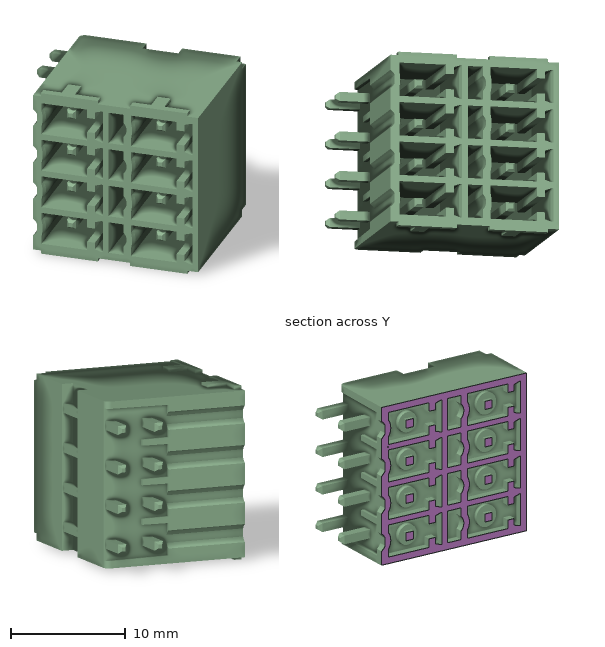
import cadquery as cq
import math


body_width = 15.15
body_depth = 13.3
overall_height = 15.4
body_height = 14.8
corner_radius = 0.53

row_pitch = 3.5
row_count = 4
column_pitch = 8.2
first_column = 2.97
columns = [first_column, first_column + column_pitch]
rows = [(i - (row_count - 1) / 2) * row_pitch for i in range(row_count)]

cavity_depth = 7.32
cavity_left = -2.19
rib_start = 2.0
rib_end = 2.7
slope_end = 3.28
cavity_right_floor = 3.31
cavity_right_mouth = 3.45
lead_in_depth = 0.53
cavity_half = 1.48
rib_gap_half = 0.68
slope_start_half = 1.3

bump_half = 0.77
bump_mouth = 0.09
bump_floor = 0.23

pad_height = 0.35
pad_top_radii = [0.95, 1.03]
pad_base_radii = [1.0, 1.03]

groove_depth = 0.37
groove_mouth_half = 0.8
groove_floor_half = 0.35
groove_arc_x = 0.21
groove_arc_half = 0.6

spare_left = 6.95
spare_right = 8.3
spare_half = 1.46
spare_groove_half = 0.68
spare_groove_depth = 0.28

plate_back = 0.64
plate_front = 0.71
finger_length = 2.5
finger_back = 0.52
finger_front = 0.59

tab_left = 0.71
tab_width = 5.23
tab_depth = 0.71
tab_height = (overall_height - body_height) / 2
stem_left = 2.4
stem_width = 1.21
stem_depth = 2.5

notch_left = 6.02
notch_width = 3.28
notch_depth = 1.07
step_width = 0.52

pin_size = 0.8
contact_tip_size = 0.4
contact_tip_length = 0.28
tail_tip_size = 0.35
tail_tip_length = 0.32
pin_reach = 2.65
pin_mating_y = 1.4
rear_pin_inset = 0.5
rear_pin_y = body_depth - rear_pin_inset
pin_leg_y = [rear_pin_y - row_pitch, rear_pin_y]


def block(x0, x1, y0, y1, z0, z1):
    """Box between opposite corners."""
    return cq.Workplane("XY").box(x1 - x0, y1 - y0, z1 - z0, centered=False).translate((x0, y0, z0))


def front_plane(x, y, z):
    """Plane facing the mating side: local x along +X, local y along +Z, extrusion along -Y."""
    return cq.Workplane("XZ", origin=(x, y, z))


def recessed_panel():
    """Pocket in the left wall, leaving end plates and fingers between the rows."""
    y_front = cavity_depth
    z_back = body_height / 2 - plate_back
    z_front = body_height / 2 - plate_front
    panel = (
        cq.Workplane("YZ")
        .polyline([(y_front, -z_front), (body_depth, -z_back), (body_depth, z_back), (y_front, z_front)])
        .close()
        .extrude(groove_depth)
    )
    y_tip = y_front + finger_length
    for lower_row in rows[:-1]:
        z = lower_row + row_pitch / 2
        finger = (
            cq.Workplane("YZ")
            .polyline([
                (y_front, z - finger_front / 2),
                (y_tip, z - finger_back / 2),
                (y_tip, z + finger_back / 2),
                (y_front, z + finger_front / 2),
            ])
            .close()
            .extrude(groove_depth)
        )
        panel = panel.cut(finger)
    return panel


def housing():
    """Main block with its tabs, back cuts and recessed panel."""
    top = body_height / 2
    body = block(0, body_width, 0, body_depth, -top, top)
    body = body.edges("<X and >Y").fillet(corner_radius)
    body = body.cut(recessed_panel())
    y_cut = body_depth - notch_depth
    body = body.cut(block(notch_left, notch_left + notch_width, y_cut, body_depth, -top, top))
    for z0 in (-top, top - plate_back):
        body = body.cut(block(body_width - step_width, body_width, y_cut, body_depth, z0, z0 + plate_back))
    full_top = top + tab_height
    for x in (0, column_pitch):
        bar = block(x + tab_left, x + tab_left + tab_width, 0, tab_depth, -full_top, full_top)
        stem = block(x + stem_left, x + stem_left + stem_width, 0, stem_depth, -full_top, full_top)
        inside = block(0, body_width, 0, stem_depth, -top, top)
        body = body.union(bar.union(stem).cut(inside))
    return body


def segment(x, y, z, half_chord, height):
    """Circular segment whose chord stands at x and whose arc bulges toward +X."""
    return (
        front_plane(x, y, z)
        .moveTo(0, -half_chord)
        .threePointArc((height, 0), (0, half_chord))
        .close()
    )


def bump(x, z):
    """Segment-shaped bump on the left cavity wall, with a sloping lead-in at the mouth."""
    wall = x + cavity_left
    mouth_wire = segment(wall, 0, z, bump_half, bump_mouth).wires().val()
    full_wire = segment(wall, lead_in_depth, z, bump_half, bump_floor).wires().val()
    lead_in = cq.Workplane(cq.Solid.makeLoft([mouth_wire, full_wire], True))
    straight = segment(wall, lead_in_depth, z, bump_half, bump_floor).extrude(lead_in_depth - cavity_depth)
    return lead_in.union(straight)


def cavity(x, z):
    """Mating cavity with two ribs and a sloping lead-in on the right wall."""
    half = [
        (cavity_left, cavity_half),
        (rib_start, cavity_half),
        (rib_start, rib_gap_half),
        (rib_end, rib_gap_half),
        (rib_end, slope_start_half),
        (slope_end, cavity_half),
        (cavity_right_mouth, cavity_half),
    ]
    outline = half + [(u, -v) for u, v in reversed(half)]
    space = front_plane(x, 0, z).polyline(outline).close().extrude(-cavity_depth)
    wedge = (
        cq.Workplane("XY", origin=(x, 0, z - cavity_half))
        .polyline([
            (cavity_right_mouth, 0),
            (cavity_right_mouth, cavity_depth),
            (cavity_right_floor, cavity_depth),
            (cavity_right_floor, lead_in_depth),
        ])
        .close()
        .extrude(2 * cavity_half)
    )
    return space.cut(wedge).cut(bump(x, z))


def groove(z):
    """Flat-bottomed coding groove with rounded flanks, open toward -X."""
    return (
        front_plane(0, 0, z)
        .moveTo(0, -groove_mouth_half)
        .threePointArc((groove_arc_x, -groove_arc_half), (groove_depth, -groove_floor_half))
        .lineTo(groove_depth, groove_floor_half)
        .threePointArc((groove_arc_x, groove_arc_half), (0, groove_mouth_half))
        .close()
        .extrude(-cavity_depth)
    )


def spare_pocket(z):
    """Plain pocket between the cavity columns, with a round groove in its right wall."""
    pocket = block(spare_left, spare_right, 0, cavity_depth, z - spare_half, z + spare_half)
    round_groove = segment(spare_right, 0, z, spare_groove_half, spare_groove_depth).extrude(-cavity_depth)
    return pocket.union(round_groove)


def pad(x, z, base_radius, top_radius):
    """Round pad on the cavity floor."""
    angle = math.degrees(math.atan((base_radius - top_radius) / pad_height))
    return front_plane(x, cavity_depth, z).circle(base_radius).extrude(pad_height, taper=angle)


def square_bar(start, length, tip_size, tip_length):
    """Square bar with a blunt pyramidal tip; start is a workplane facing toward the tip."""
    tip_angle = math.degrees(math.atan((pin_size - tip_size) / 2 / tip_length))
    shank_length = length - tip_length
    shank = start.rect(pin_size, pin_size).extrude(shank_length)
    tip = start.workplane(offset=shank_length).rect(pin_size, pin_size).extrude(tip_length, taper=tip_angle)
    return shank.union(tip)


def pin(x, z, leg_y):
    """Bent pin: one leg into the cavity along -Y, the other out of the housing along -X."""
    heel = pin_size / 2
    contact_start = front_plane(x, leg_y + heel, z)
    contact = square_bar(contact_start, leg_y + heel - pin_mating_y, contact_tip_size, contact_tip_length)
    tail_start = cq.Workplane(cq.Plane(origin=(x + heel, leg_y, z), xDir=(0, 1, 0), normal=(-1, 0, 0)))
    tail = square_bar(tail_start, x + heel + pin_reach, tail_tip_size, tail_tip_length)
    return contact.union(tail)


result = housing()
for row in rows:
    result = result.cut(groove(row)).cut(spare_pocket(row))
    for column, leg_y, base_radius, top_radius in zip(columns, pin_leg_y, pad_base_radii, pad_top_radii):
        result = result.cut(cavity(column, row))
        result = result.union(pad(column, row, base_radius, top_radius))
        result = result.union(pin(column, row, leg_y))